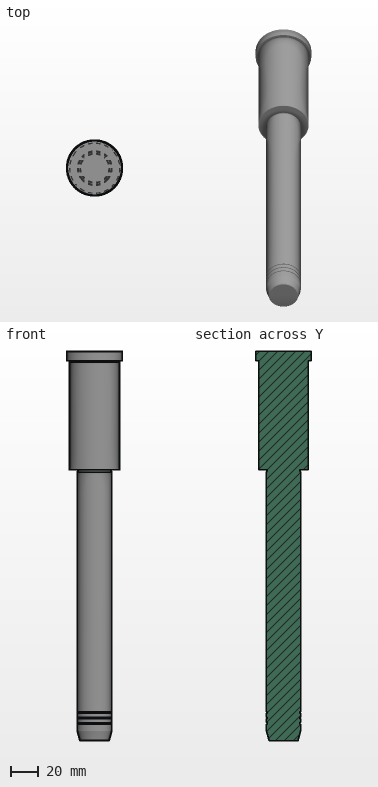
import cadquery as cq

total_length = 280.0
head_height = 7.0
head_chamfer = 0.5
relief_height = 1.0
sleeve_bottom = 194.5
sleeve_chamfer = 0.15
neck_taper_height = 1.7
tip_height = 7.3
tip_chamfer = 0.5

head_diameter = 40.0
relief_diameter = 35.8
sleeve_diameter = 36.0
pin_diameter = 25.0
neck_diameter = 23.2
tip_diameter = 21.3

groove_count = 3
groove_pitch = 4.0
groove_width = 1.0
groove_depth = 0.5
lowest_groove_bottom = 12.0

head_radius = head_diameter / 2
relief_radius = relief_diameter / 2
sleeve_radius = sleeve_diameter / 2
pin_radius = pin_diameter / 2
neck_radius = neck_diameter / 2
tip_radius = tip_diameter / 2
groove_radius = pin_radius - groove_depth
head_bottom = total_length - head_height
sleeve_top = head_bottom - relief_height


def groove_points(bottom):
    """Radius and height of the four corners of one groove, starting at its lower edge."""
    top = bottom + groove_width
    return [(pin_radius, bottom), (groove_radius, bottom), (groove_radius, top), (pin_radius, top)]


tip_points = [
    (0, 0),
    (tip_radius - tip_chamfer, 0),
    (tip_radius, tip_chamfer),
    (pin_radius, tip_height),
]

pin_points = []
for index in range(groove_count):
    pin_points += groove_points(lowest_groove_bottom + index * groove_pitch)
pin_points += [
    (pin_radius, sleeve_bottom - neck_taper_height),
    (neck_radius, sleeve_bottom),
]

sleeve_points = [
    (sleeve_radius - sleeve_chamfer, sleeve_bottom),
    (sleeve_radius, sleeve_bottom + sleeve_chamfer),
    (sleeve_radius, sleeve_top),
    (relief_radius, sleeve_top),
    (relief_radius, head_bottom),
]

head_points = [
    (head_radius, head_bottom),
    (head_radius, total_length - head_chamfer),
    (head_radius - head_chamfer, total_length),
    (0, total_length),
]

half_profile = tip_points + pin_points + sleeve_points + head_points
profile = [(-radius, height) for radius, height in half_profile]
result = cq.Workplane("XZ").polyline(profile).close().revolve(360, (0, 0, 0), (0, 1, 0))